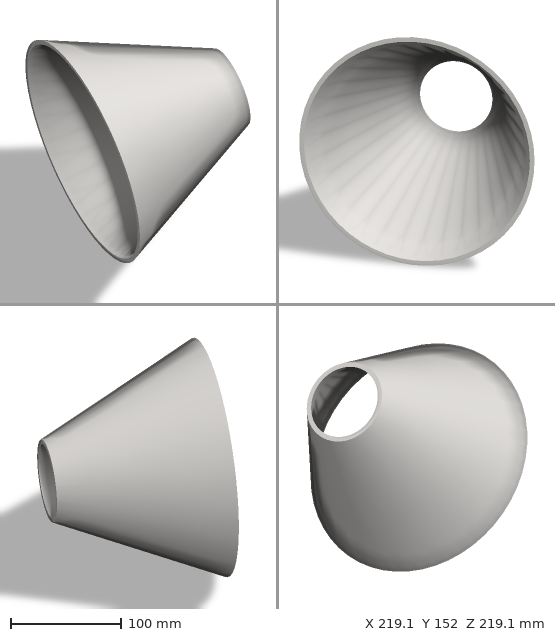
import cadquery as cq
import math

large_outer_diameter = 219.1
small_outer_diameter = 76.1
length = 152.0
wall_thickness = 4.0

large_outer_radius = large_outer_diameter / 2
small_outer_radius = small_outer_diameter / 2

half_angle = math.atan((large_outer_radius - small_outer_radius) / length)
end_face_width = wall_thickness / math.cos(half_angle)

large_inner_radius = large_outer_radius - end_face_width
small_inner_radius = small_outer_radius - end_face_width


def make_reducer():
    """Revolve the wall section about the Y axis, large end at Y = 0."""
    wall_section = (
        cq.Workplane("XY")
        .moveTo(large_inner_radius, 0)
        .lineTo(large_outer_radius, 0)
        .lineTo(small_outer_radius, length)
        .lineTo(small_inner_radius, length)
        .close()
    )
    return wall_section.revolve(360, (0, 0, 0), (0, 1, 0))


result = make_reducer()